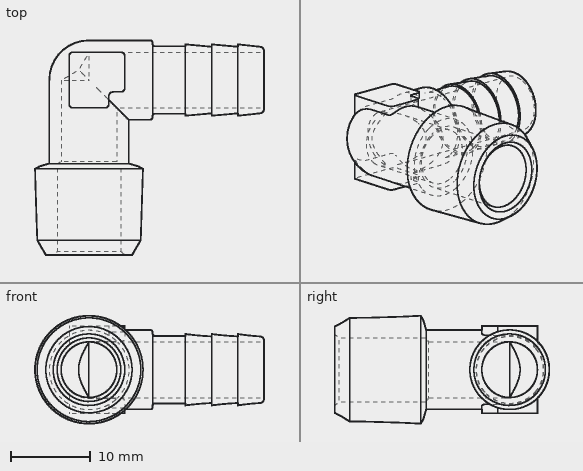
import cadquery as cq
import math

BODY_RADIUS = 5.0

PLUG_LENGTH = 22.0
PLUG_BACK = 10.5
PLUG_RADIUS = 6.8
BACK_FACE_RADIUS = 5.1
BACK_BEND_RADIUS = 6.2
BACK_BEND_STEP = 0.33
PLUG_TAPER = 1 / 16
LEAD_IN_LENGTH = 1.9
LEAD_IN_ANGLE = 30.0

HOSE_LENGTH = 22.0
COLLAR_END = 8.0
COLLAR_ROUND = 0.3
STEM_RADIUS = 4.25
STEM_FILLET = 0.3
BARB_COUNT = 3
BARB_PITCH = 3.3
BARB_START = HOSE_LENGTH - BARB_COUNT * BARB_PITCH
BARB_CREST_RADIUS = 4.5
BARB_ROOT_RADIUS = 4.2
TIP_ROUND = 0.5

BORE_RADIUS = 3.5
DRILL_POINT_ANGLE = 118.0
COUNTERBORE_RADIUS = 4.0
COUNTERBORE_DEPTH = PLUG_LENGTH - PLUG_BACK
COUNTERSINK_RADIUS = 4.5
COUNTERSINK_ANGLE = 90.0

PAD_HEIGHT = 11.0
PAD_SIZE = 7.0
PAD_MIN = -PAD_SIZE / 2
PAD_LEFT = -2.5
PAD_NOTCH = 2.0
PAD_ROUND = 0.5


def cone_depth(radius_change, included_angle):
    """Axial length of a cone over a given change of radius."""
    return radius_change / math.tan(math.radians(included_angle / 2))


def revolve_about_x(outline):
    return outline.close().revolve(360, (0, 0, 0), (1, 0, 0))


def revolve_about_y(outline):
    return outline.close().revolve(360, (0, 0, 0), (0, 1, 0))


def make_plug_leg():
    bend_y = -PLUG_BACK - BACK_BEND_STEP
    crest_y = bend_y - BACK_BEND_STEP
    lead_in_y = -PLUG_LENGTH + LEAD_IN_LENGTH
    lead_in_radius = PLUG_RADIUS - (crest_y - lead_in_y) * PLUG_TAPER / 2
    mouth_radius = lead_in_radius - LEAD_IN_LENGTH * math.tan(math.radians(LEAD_IN_ANGLE))
    outline = (
        cq.Workplane("XY")
        .lineTo(BODY_RADIUS, 0)
        .lineTo(BODY_RADIUS, -PLUG_BACK)
        .lineTo(BACK_FACE_RADIUS, -PLUG_BACK)
        .lineTo(BACK_BEND_RADIUS, bend_y)
        .lineTo(PLUG_RADIUS, crest_y)
        .lineTo(lead_in_radius, lead_in_y)
        .lineTo(mouth_radius, -PLUG_LENGTH)
        .lineTo(0, -PLUG_LENGTH)
    )
    return revolve_about_y(outline)


def make_hose_leg():
    outline = (
        cq.Workplane("XY")
        .lineTo(0, BODY_RADIUS)
        .lineTo(COLLAR_END - COLLAR_ROUND, BODY_RADIUS)
        .radiusArc((COLLAR_END, BODY_RADIUS - COLLAR_ROUND), COLLAR_ROUND)
        .lineTo(COLLAR_END, STEM_RADIUS + STEM_FILLET)
        .radiusArc((COLLAR_END + STEM_FILLET, STEM_RADIUS), -STEM_FILLET)
        .lineTo(BARB_START, STEM_RADIUS)
    )
    for barb in range(BARB_COUNT - 1):
        crest_x = BARB_START + barb * BARB_PITCH
        outline = outline.lineTo(crest_x, BARB_CREST_RADIUS)
        outline = outline.lineTo(crest_x + BARB_PITCH, BARB_ROOT_RADIUS)
    last_crest_x = BARB_START + (BARB_COUNT - 1) * BARB_PITCH
    outline = (
        outline.lineTo(last_crest_x, BARB_CREST_RADIUS)
        .lineTo(HOSE_LENGTH - TIP_ROUND, BARB_ROOT_RADIUS)
        .tangentArcPoint((HOSE_LENGTH, BARB_ROOT_RADIUS - TIP_ROUND), relative=False)
        .lineTo(HOSE_LENGTH, 0)
    )
    return revolve_about_x(outline)


def make_pads():
    right = PAD_LEFT + PAD_SIZE
    top = PAD_MIN + PAD_SIZE
    return (
        cq.Workplane("XY", origin=(0, 0, -PAD_HEIGHT / 2))
        .moveTo(PAD_LEFT, PAD_MIN)
        .lineTo(right - PAD_NOTCH, PAD_MIN)
        .lineTo(right - PAD_NOTCH, PAD_MIN + PAD_NOTCH)
        .lineTo(right, PAD_MIN + PAD_NOTCH)
        .lineTo(right, top)
        .lineTo(PAD_LEFT, top)
        .close()
        .extrude(PAD_HEIGHT)
        .edges("|Z")
        .fillet(PAD_ROUND)
    )


def make_hose_bore():
    outline = (
        cq.Workplane("XY")
        .moveTo(-cone_depth(BORE_RADIUS, DRILL_POINT_ANGLE), 0)
        .lineTo(0, BORE_RADIUS)
        .lineTo(HOSE_LENGTH, BORE_RADIUS)
        .lineTo(HOSE_LENGTH, 0)
    )
    return revolve_about_x(outline)


def make_plug_bore():
    shoulder_y = -PLUG_LENGTH + COUNTERBORE_DEPTH
    shoulder_depth = cone_depth(COUNTERBORE_RADIUS - BORE_RADIUS, DRILL_POINT_ANGLE)
    countersink_depth = cone_depth(COUNTERSINK_RADIUS - COUNTERBORE_RADIUS, COUNTERSINK_ANGLE)
    outline = (
        cq.Workplane("XY")
        .moveTo(0, cone_depth(BORE_RADIUS, DRILL_POINT_ANGLE))
        .lineTo(BORE_RADIUS, 0)
        .lineTo(BORE_RADIUS, shoulder_y + shoulder_depth)
        .lineTo(COUNTERBORE_RADIUS, shoulder_y)
        .lineTo(COUNTERBORE_RADIUS, -PLUG_LENGTH + countersink_depth)
        .lineTo(COUNTERSINK_RADIUS, -PLUG_LENGTH)
        .lineTo(0, -PLUG_LENGTH)
    )
    return revolve_about_y(outline)


corner = cq.Workplane("XY").sphere(BODY_RADIUS)
body = make_plug_leg().union(make_hose_leg()).union(corner).union(make_pads())
result = body.cut(make_hose_bore()).cut(make_plug_bore())